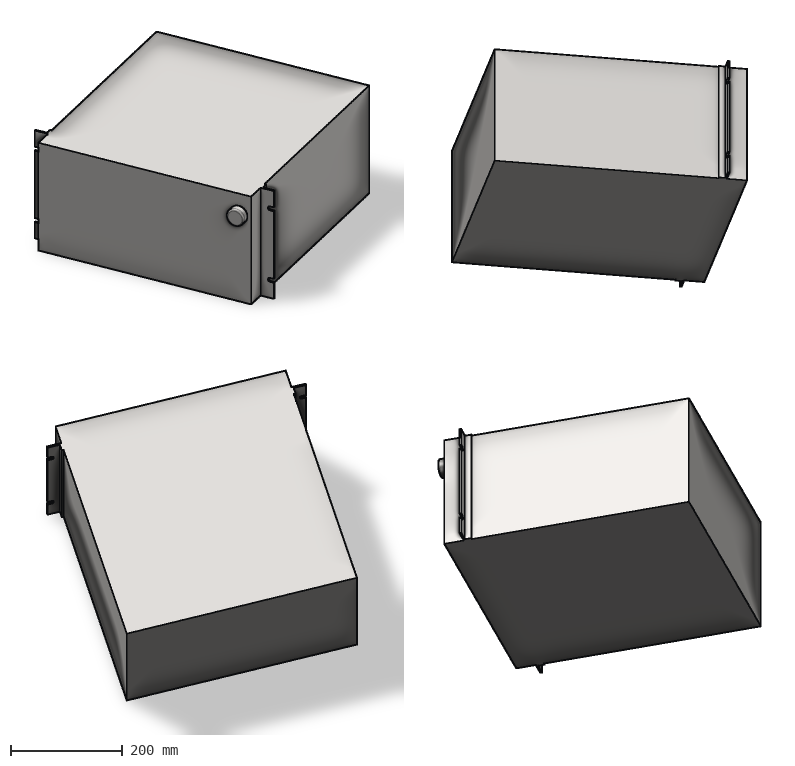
import cadquery as cq

overall_width = 481.0
overall_depth = 473.5
height = 221.0
body_width = 428.0
knob_length = 15.0
body_depth = overall_depth - knob_length

sheet = 3.5
bracket_setback = 36.5
bracket_leg = 15.5

slot_width = 8.0
slot_depth = 11.5
slot_spacing = 146.3

knob_diameter = 35.0
knob_x = 189.0
knob_z = 68.0
rim_radius = 3.5


def make_body():
    """Plain box with its front face on Y = 0."""
    return cq.Workplane("XY").box(body_width, body_depth, height, centered=(True, False, True))


def make_right_bracket():
    """L-section bracket on the +X side, with two slots open to its outer edge."""
    side = body_width / 2
    edge = overall_width / 2
    flange_back = bracket_setback + sheet
    bracket = (
        cq.Workplane("XY", origin=(0, 0, -height / 2))
        .moveTo(side, bracket_setback)
        .lineTo(edge, bracket_setback)
        .lineTo(edge, flange_back)
        .lineTo(side + sheet, flange_back)
        .lineTo(side + sheet, bracket_setback + bracket_leg)
        .lineTo(side, bracket_setback + bracket_leg)
        .close()
        .extrude(height)
    )
    slots = (
        cq.Workplane("XZ", origin=(edge, flange_back, 0))
        .pushPoints([(0, -slot_spacing / 2), (0, slot_spacing / 2)])
        .slot2D(2 * slot_depth, slot_width)
        .extrude(sheet)
    )
    return bracket.cut(slots)


def make_knob():
    """Round knob pointing to -Y, rounded at its free end."""
    return (
        cq.Workplane("XZ", origin=(knob_x, 0, knob_z))
        .circle(knob_diameter / 2)
        .extrude(knob_length)
        .faces("<Y")
        .fillet(rim_radius)
    )


right_bracket = make_right_bracket()
left_bracket = right_bracket.mirror("YZ")
result = make_body().union(right_bracket).union(left_bracket).union(make_knob())